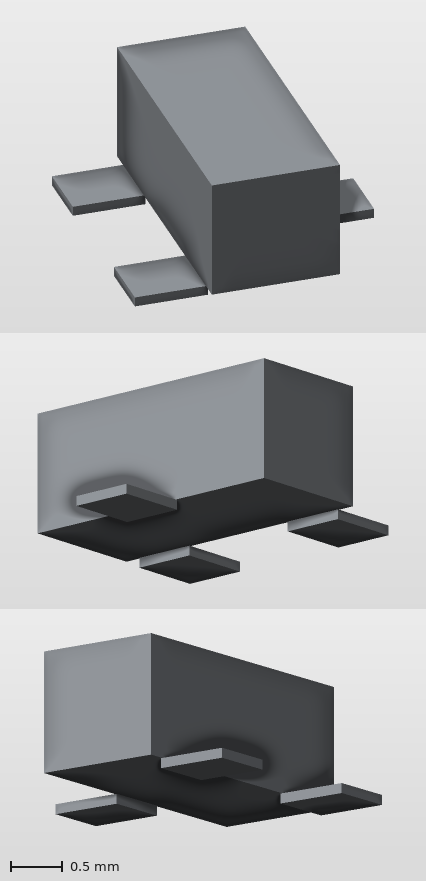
import cadquery as cq

housing_length = 2.9
housing_width = 1.3
housing_height = 1.2

lead_width = 0.64
lead_length = 0.74
lead_thickness = 0.1
lead_span = 2.74
outer_lead_spacing = 1.9

lead_centre_y = (lead_span - lead_length) / 2
lead_centres = [
    (-outer_lead_spacing / 2, -lead_centre_y),
    (outer_lead_spacing / 2, -lead_centre_y),
    (0, lead_centre_y),
]


def make_housing():
    """Plain block whose underside sits on top of the leads."""
    return (
        cq.Workplane("XY")
        .workplane(offset=lead_thickness)
        .rect(housing_length, housing_width)
        .extrude(housing_height)
    )


def make_lead(x, y):
    """Flat rectangular lead centred at (x, y), with its underside at Z = 0."""
    return (
        cq.Workplane("XY")
        .center(x, y)
        .rect(lead_width, lead_length)
        .extrude(lead_thickness)
    )


housing = make_housing()
leads = [make_lead(x, y).val() for x, y in lead_centres]

result = cq.Compound.makeCompound([housing.val(), *leads])